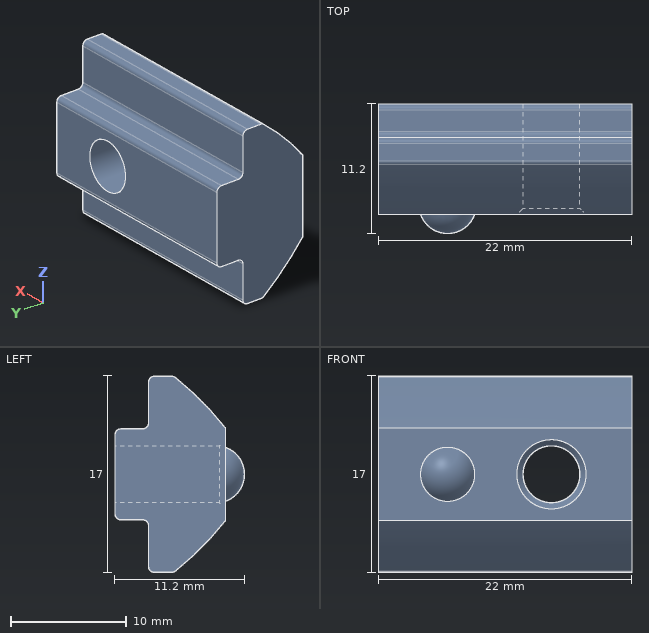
import cadquery as cq
import math

length = 22.0
height = 17.0
total_depth = 11.25
ball_protrusion = 1.65
body_depth = total_depth - ball_protrusion

neck_height = 7.9
neck_depth = 2.9
front_face_height = 8.0
flank_depth = 4.49
flank_radius = 27.0
edge_radius = 0.5

ball_x = 6.0
ball_diameter = 5.0
hole_x = 15.0
hole_diameter = 4.9
countersink_diameter = 6.0
countersink_angle = 90.0


def flank_bulge():
    """Height of the flank arc above its chord."""
    half_chord = math.hypot(flank_depth, (height - front_face_height) / 2) / 2
    return flank_radius - math.sqrt(flank_radius**2 - half_chord**2)


def make_body():
    """Extrude the symmetric T section along X and round its edges."""
    half_height = height / 2
    half_neck = neck_height / 2
    half_front = front_face_height / 2
    shoulder_y = body_depth - neck_depth
    bulge = flank_bulge()
    body = (
        cq.Workplane("YZ")
        .moveTo(0, -half_front)
        .lineTo(0, half_front)
        .sagittaArc((flank_depth, half_height), bulge)
        .lineTo(shoulder_y, half_height)
        .lineTo(shoulder_y, half_neck)
        .lineTo(body_depth, half_neck)
        .lineTo(body_depth, -half_neck)
        .lineTo(shoulder_y, -half_neck)
        .lineTo(shoulder_y, -half_height)
        .lineTo(flank_depth, -half_height)
        .sagittaArc((0, -half_front), bulge)
        .close()
        .extrude(length)
    )
    return body.edges("|X").edges("not <Y").fillet(edge_radius)


def make_ball():
    """Sphere sunk into the body so that only a cap protrudes."""
    center_y = ball_diameter / 2 - ball_protrusion
    return cq.Workplane("XY").sphere(ball_diameter / 2).translate((ball_x, center_y, 0))


def cut_hole(body):
    """Through hole with a countersink in the front face."""
    front_plane = cq.Plane(origin=(hole_x, 0, 0), xDir=(1, 0, 0), normal=(0, -1, 0))
    return body.copyWorkplane(cq.Workplane(front_plane)).cskHole(
        hole_diameter, countersink_diameter, countersink_angle
    )


result = cut_hole(make_body()).union(make_ball())